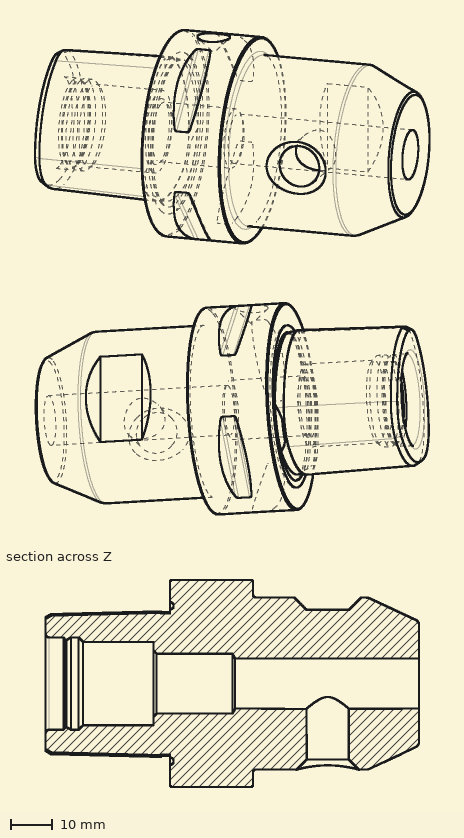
import cadquery as cq
import math


SHANK_LENGTH = 30.0
FLANGE_LENGTH = 20.0
NOSE_END = 60.0
FLANGE_RADIUS = 50.0 / 2
BODY_RADIUS = 41.5 / 2
NOSE_RADIUS = 15.0
NOSE_CONE_START = 47.7

POLYGON_MEAN_RADIUS = 17.55
POLYGON_ECCENTRICITY = 1.05
CORNER_RADIUS = 9.8
TAPER_SLOPE = 1 / 40
TAPER_END = -2.2
TIP_CHAMFER_LENGTH = 1.4
TIP_CHAMFER_DEPTH = 0.8
NECK_OFFSET = 0.2

RELIEF_START = -1.65
RELIEF_START_RADIUS = 18.25
RELIEF_END_RADIUS = 17.6
GROOVE_OUTER_RADIUS = 19.6
GROOVE_INNER_RADIUS = 17.9

FLANGE_CHAMFER = 0.3
BODY_FOOT_FILLET = 0.8
CONE_START_FILLET = 1.6
NOSE_CHAMFER = 0.5

MOUTH_RADIUS = 12.0
MOUTH_FILLET = 0.9
LIP_RADIUS = 10.5
LIP_RAMP_START = 4.3
LIP_START = 4.8
LIP_END = 5.1
GROOVE_START = 6.2
GROOVE_END = 8.0
DEEP_BORE_RADIUS = 10.0
DEEP_BORE_DEPTH = 26.0
THREAD_MAJOR_RADIUS = 16.0 / 2
THREAD_MINOR_RADIUS = 14.38 / 2
THREAD_DEPTH = 45.0
DRILL_POINT_HALF_ANGLE = 59.0
TOOL_BORE_RADIUS = 12.0 / 2

SLOT_X = FLANGE_LENGTH / 2
SLOT_FLOOR_DISTANCE = 22.2
SLOT_FLOOR_WIDTH = 3.6
SLOT_MOUTH_WIDTH = 6.6
SLOT_FLOOR_FILLET = 0.75
SLOT_ANGLES = (45, 135, 225, 315)
DIMPLE_RADIUS = 4.0

SCREW_X = 38.0
SCREW_RADIUS = 10.11 / 2
COUNTERSINK_RADIUS = 7.53
CLEARANCE_FLOOR_WIDTH = 10.3
CLEARANCE_DEPTH = 2.9


def revolve_about_x(profile):
    """Revolve a closed (x, radius) outline a full turn about the X axis."""
    return profile.close().revolve(360, (0, 0, 0), (1, 0, 0))


def polygon_wire(x, offset):
    """Three-lobed constant-width outline at x, one lobe toward +Z, moved inward by offset."""
    corner_centre = POLYGON_MEAN_RADIUS + POLYGON_ECCENTRICITY - CORNER_RADIUS
    corner_radius = CORNER_RADIUS - offset
    flank_radius = 2 * POLYGON_MEAN_RADIUS - CORNER_RADIUS - offset

    def arc_point(lobe_angle, radius, direction):
        lobe = math.radians(lobe_angle)
        pointing = math.radians(direction)
        y = corner_centre * math.cos(lobe) + radius * math.cos(pointing)
        z = corner_centre * math.sin(lobe) + radius * math.sin(pointing)
        return (y, z)

    outline = cq.Workplane("YZ", origin=(x, 0, 0)).moveTo(*arc_point(90, corner_radius, 60))
    for lobe in (90, 210, 330):
        opposite_lobe = lobe - 120
        flank = lobe + 60
        outline = outline.threePointArc(
            arc_point(lobe, corner_radius, lobe), arc_point(lobe, corner_radius, lobe + 30)
        )
        outline = outline.threePointArc(
            arc_point(opposite_lobe, flank_radius, flank),
            arc_point(opposite_lobe, flank_radius, flank + 30),
        )
    return outline.close().wires().val()


def polygon_loft(x_start, offset_start, x_end, offset_end):
    """Ruled solid between two polygon outlines, each with its own inward offset."""
    wires = [polygon_wire(x_start, offset_start), polygon_wire(x_end, offset_end)]
    return cq.Workplane(cq.Solid.makeLoft(wires, True))


def make_shank():
    """Chamfered tip, tapered polygon and slightly smaller neck ending at the flange seat."""
    chamfer_end = -SHANK_LENGTH + TIP_CHAMFER_LENGTH
    chamfer_offset = (TAPER_END - chamfer_end) * TAPER_SLOPE
    tip = polygon_loft(-SHANK_LENGTH, chamfer_offset + TIP_CHAMFER_DEPTH, chamfer_end, chamfer_offset)
    taper = polygon_loft(chamfer_end, chamfer_offset, TAPER_END, 0)
    neck = polygon_loft(TAPER_END, NECK_OFFSET, 0, NECK_OFFSET)
    return tip.union(taper).union(neck.intersect(make_neck_envelope()))


def make_neck_envelope():
    """Turned shape that trims the three polygon lobes conically toward the flange seat."""
    lobe_radius = POLYGON_MEAN_RADIUS + POLYGON_ECCENTRICITY
    profile = (
        cq.Workplane("XY")
        .moveTo(TAPER_END, 0)
        .lineTo(TAPER_END, lobe_radius)
        .lineTo(RELIEF_START, lobe_radius)
        .lineTo(RELIEF_START, RELIEF_START_RADIUS)
        .lineTo(0, RELIEF_END_RADIUS)
        .lineTo(0, 0)
    )
    return revolve_about_x(profile)


def make_body():
    """Flange with its half-round ring groove, cylindrical body and conical nose."""
    groove_depth = (GROOVE_OUTER_RADIUS - GROOVE_INNER_RADIUS) / 2
    groove_mid_radius = (GROOVE_OUTER_RADIUS + GROOVE_INNER_RADIUS) / 2
    foot_x = FLANGE_LENGTH + BODY_FOOT_FILLET
    foot_radius = BODY_RADIUS + BODY_FOOT_FILLET
    foot_diagonal = BODY_FOOT_FILLET * math.sqrt(0.5)
    profile = (
        cq.Workplane("XY")
        .moveTo(0, 0)
        .lineTo(0, GROOVE_INNER_RADIUS)
        .threePointArc((groove_depth, groove_mid_radius), (0, GROOVE_OUTER_RADIUS))
        .lineTo(0, FLANGE_RADIUS - FLANGE_CHAMFER)
        .lineTo(FLANGE_CHAMFER, FLANGE_RADIUS)
        .lineTo(FLANGE_LENGTH - FLANGE_CHAMFER, FLANGE_RADIUS)
        .lineTo(FLANGE_LENGTH, FLANGE_RADIUS - FLANGE_CHAMFER)
        .lineTo(FLANGE_LENGTH, foot_radius)
        .threePointArc((foot_x - foot_diagonal, foot_radius - foot_diagonal), (foot_x, BODY_RADIUS))
        .lineTo(NOSE_CONE_START, BODY_RADIUS)
        .lineTo(NOSE_END, NOSE_RADIUS)
        .lineTo(NOSE_END, 0)
    )
    body = revolve_about_x(profile)
    cone_start_edge = cq.selectors.BoxSelector(
        (foot_x + BODY_FOOT_FILLET, -FLANGE_RADIUS, -FLANGE_RADIUS),
        (NOSE_END - NOSE_CHAMFER, FLANGE_RADIUS, FLANGE_RADIUS),
    )
    body = body.edges("%CIRCLE").edges(cone_start_edge).fillet(CONE_START_FILLET)
    return body.faces(">X").edges().chamfer(NOSE_CHAMFER)


def make_bore():
    """Stepped through bore: clamping mouth, deep bore, thread and tool bore."""
    tip = -SHANK_LENGTH
    mouth_bore_radius = MOUTH_RADIUS - MOUTH_FILLET
    mouth_diagonal = MOUTH_FILLET * math.sqrt(0.5)
    groove_step = mouth_bore_radius - DEEP_BORE_RADIUS
    thread_chamfer = THREAD_MAJOR_RADIUS - THREAD_MINOR_RADIUS
    drill_slope = math.tan(math.radians(DRILL_POINT_HALF_ANGLE))
    drill_point_length = (THREAD_MINOR_RADIUS - TOOL_BORE_RADIUS) / drill_slope
    profile = (
        cq.Workplane("XY")
        .moveTo(tip, 0)
        .lineTo(tip, MOUTH_RADIUS)
        .threePointArc(
            (tip + MOUTH_FILLET - mouth_diagonal, MOUTH_RADIUS - mouth_diagonal),
            (tip + MOUTH_FILLET, mouth_bore_radius),
        )
        .lineTo(tip + LIP_RAMP_START, mouth_bore_radius)
        .lineTo(tip + LIP_START, LIP_RADIUS)
        .lineTo(tip + LIP_END, LIP_RADIUS)
        .lineTo(tip + GROOVE_START, mouth_bore_radius)
        .lineTo(tip + GROOVE_END, mouth_bore_radius)
        .lineTo(tip + GROOVE_END + groove_step, DEEP_BORE_RADIUS)
        .lineTo(tip + DEEP_BORE_DEPTH, DEEP_BORE_RADIUS)
        .lineTo(tip + DEEP_BORE_DEPTH, THREAD_MAJOR_RADIUS)
        .lineTo(tip + DEEP_BORE_DEPTH + thread_chamfer, THREAD_MINOR_RADIUS)
        .lineTo(tip + THREAD_DEPTH, THREAD_MINOR_RADIUS)
        .lineTo(tip + THREAD_DEPTH + drill_point_length, TOOL_BORE_RADIUS)
        .lineTo(NOSE_END, TOOL_BORE_RADIUS)
        .lineTo(NOSE_END, 0)
    )
    return revolve_about_x(profile)


def make_gripper_slots():
    """Four straight tapered slots cut along chords of the flange, 45 degrees off Y and Z."""
    depth = FLANGE_RADIUS - SLOT_FLOOR_DISTANCE
    slot = (
        cq.Workplane("XZ")
        .moveTo(SLOT_X - SLOT_FLOOR_WIDTH / 2, SLOT_FLOOR_DISTANCE)
        .lineTo(SLOT_X + SLOT_FLOOR_WIDTH / 2, SLOT_FLOOR_DISTANCE)
        .lineTo(SLOT_X + SLOT_MOUTH_WIDTH / 2, SLOT_FLOOR_DISTANCE + depth)
        .lineTo(SLOT_X - SLOT_MOUTH_WIDTH / 2, SLOT_FLOOR_DISTANCE + depth)
        .close()
        .extrude(FLANGE_RADIUS, both=True)
        .faces("<Z")
        .edges("|Y")
        .fillet(SLOT_FLOOR_FILLET)
    )
    slots = cq.Workplane()
    for angle in SLOT_ANGLES:
        slots = slots.add(slot.rotate((0, 0, 0), (1, 0, 0), angle))
    return slots.combine()


def make_dimple():
    """Right-angle conical dimple on top of the flange."""
    cone = cq.Solid.makeCone(
        0, DIMPLE_RADIUS, DIMPLE_RADIUS,
        pnt=cq.Vector(SLOT_X, 0, FLANGE_RADIUS - DIMPLE_RADIUS), dir=cq.Vector(0, 0, 1),
    )
    return cq.Workplane(cone)


def make_screw_hole():
    """Clamping screw hole from the -Y side into the tool bore, with a 45 degree countersink."""
    inward = cq.Vector(0, 1, 0)
    entry = cq.Vector(SCREW_X, -BODY_RADIUS, 0)
    hole = cq.Solid.makeCylinder(SCREW_RADIUS, BODY_RADIUS, entry, inward)
    sink_depth = COUNTERSINK_RADIUS - SCREW_RADIUS
    countersink = cq.Solid.makeCone(COUNTERSINK_RADIUS, SCREW_RADIUS, sink_depth, entry, inward)
    return cq.Workplane(hole).union(cq.Workplane(countersink))


def make_clearance():
    """Trapezoidal cut with 45 degree sides across the body, opposite the screw."""
    half_floor = CLEARANCE_FLOOR_WIDTH / 2
    half_mouth = half_floor + CLEARANCE_DEPTH
    floor_y = BODY_RADIUS - CLEARANCE_DEPTH
    return (
        cq.Workplane("XY")
        .moveTo(SCREW_X - half_floor, floor_y)
        .lineTo(SCREW_X + half_floor, floor_y)
        .lineTo(SCREW_X + half_mouth, BODY_RADIUS)
        .lineTo(SCREW_X - half_mouth, BODY_RADIUS)
        .close()
        .extrude(BODY_RADIUS, both=True)
    )


result = make_body().union(make_shank())
for cutter in (make_bore(), make_gripper_slots(), make_dimple(), make_screw_hole(), make_clearance()):
    result = result.cut(cutter)